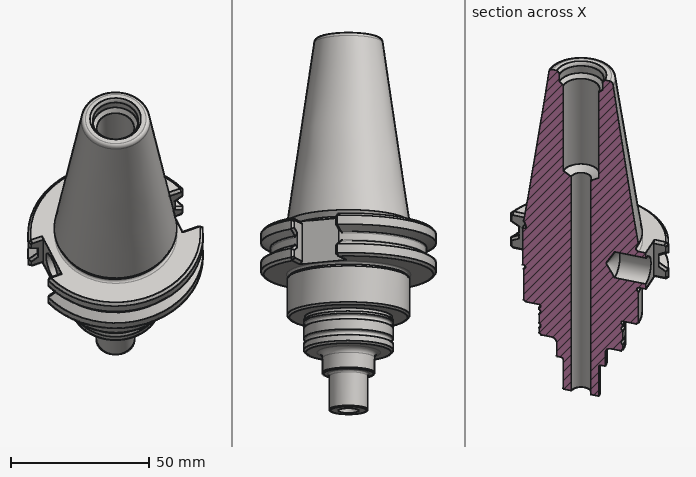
import cadquery as cq
import math


gauge_radius = 44.45 / 2
taper_length = 68.25
taper_slope = 7 / 48
taper_end_radius = gauge_radius - taper_slope * taper_length
taper_end_round = 1.3

relief_fillet = 1.0

flange_radius = 63.5 / 2
flange_top_z = -3.175
flange_bottom_z = -19.05
flange_chamfer = 1.0
groove_z = -11.11
groove_floor_radius = 28.2
groove_floor_half_width = 1.55
groove_corner_fillet = 0.5
groove_flank_angle = 30
groove_mouth_half_width = (
    groove_floor_half_width
    + (flange_radius - groove_floor_radius) * math.tan(math.radians(groove_flank_angle))
)

slot_half_width = 16.38 / 2
slot_chamfer = 1.0
front_slot_floor = 25.0
back_slot_floor = 22.6

dimple_diameter = 11.0
dimple_depth = 12.0
drill_half_angle = 59

body_radius = gauge_radius
body_bottom_z = -35.0
body_chamfer = 0.8
undercut_depth = 0.7
undercut_fillet = 1.0
undercut_length = 1.8
body_top_z = flange_bottom_z - undercut_length

neck_radius = 32.5 / 2
neck_bottom_z = -48.0
neck_chamfer = 0.8
neck_relief_top_radius = neck_radius - 0.35
neck_relief_depth = 0.6
neck_relief_length = 1.25
ring_groove_centers = (-38.1, -44.0)
ring_groove_half_width = 1.05
ring_lip = 0.35
ring_groove_depth = 0.65

step_radius = 19 / 2
step_bottom_z = -56.0
step_chamfer = 0.4
step_fillet = 2.0
nose_radius = 14 / 2
nose_bottom_z = -69.6
nose_chamfer = 0.4
nose_fillet = 0.7

mouth_width = 1.0
mouth_depth = 1.4
mouth_bulge = 0.12
entry_radius = 16.5 / 2
entry_depth = 4.5
thread_radius = 13.53 / 2
thread_depth = 43.0
through_radius = 7.5 / 2

DIAGONAL = math.sqrt(0.5)

cut_clearance = 1.0
tolerance = 1e-3


def ring_groove(profile, center_z):
    """Run the outline down through one round-bottomed groove with chamfered lips."""
    lip_radius = neck_radius - ring_lip
    arc_half_width = ring_groove_half_width - ring_lip
    return (
        profile.lineTo(neck_radius, center_z + ring_groove_half_width)
        .lineTo(lip_radius, center_z + arc_half_width)
        .threePointArc(
            (neck_radius - ring_groove_depth, center_z),
            (lip_radius, center_z - arc_half_width),
        )
        .lineTo(neck_radius, center_z - ring_groove_half_width)
    )


def concave_fillet(profile, wall_radius, face_z, fillet, wall_below):
    """Blend a vertical wall and the face it meets; the wall hangs below the face or stands on it."""
    side = -1 if wall_below else 1
    on_face = (wall_radius + fillet, face_z)
    on_wall = (wall_radius, face_z + side * fillet)
    middle = (
        wall_radius + fillet * (1 - DIAGONAL),
        face_z + side * fillet * (1 - DIAGONAL),
    )
    start, end = (on_face, on_wall) if wall_below else (on_wall, on_face)
    return profile.lineTo(*start).threePointArc(middle, end)


def turned_body():
    """Solid of revolution: taper, flange, body, neck and nose."""
    outline = cq.Workplane("XZ").moveTo(0, nose_bottom_z).lineTo(0, taper_length)

    shoulder_z = taper_length - taper_end_round
    shoulder_radius = taper_end_radius + taper_slope * taper_end_round
    flat_radius = taper_end_radius - taper_end_round
    outline = outline.lineTo(flat_radius, taper_length)
    outline = outline.threePointArc(
        (
            flat_radius + (shoulder_radius - flat_radius) * DIAGONAL,
            shoulder_z + taper_end_round * DIAGONAL,
        ),
        (shoulder_radius, shoulder_z),
    )
    outline = outline.lineTo(gauge_radius, 0)
    relief_radius = gauge_radius - relief_fillet
    outline = concave_fillet(outline, relief_radius, flange_top_z, relief_fillet, False)

    outline = outline.lineTo(flange_radius - flange_chamfer, flange_top_z)
    outline = outline.lineTo(flange_radius, flange_top_z - flange_chamfer)
    outline = outline.lineTo(flange_radius, groove_z + groove_mouth_half_width)
    outline = outline.lineTo(groove_floor_radius, groove_z + groove_floor_half_width)
    outline = outline.lineTo(groove_floor_radius, groove_z - groove_floor_half_width)
    outline = outline.lineTo(flange_radius, groove_z - groove_mouth_half_width)
    outline = outline.lineTo(flange_radius, flange_bottom_z + flange_chamfer)
    outline = outline.lineTo(flange_radius - flange_chamfer, flange_bottom_z)

    undercut_radius = body_radius - undercut_depth
    outline = concave_fillet(outline, undercut_radius, flange_bottom_z, undercut_fillet, True)
    outline = outline.lineTo(body_radius, body_top_z)
    outline = outline.lineTo(body_radius, body_bottom_z + body_chamfer)
    outline = outline.lineTo(body_radius - body_chamfer, body_bottom_z)

    outline = outline.lineTo(neck_relief_top_radius, body_bottom_z)
    outline = outline.threePointArc(
        (neck_radius - neck_relief_depth, body_bottom_z - neck_relief_length / 2),
        (neck_radius, body_bottom_z - neck_relief_length),
    )
    for center_z in ring_groove_centers:
        outline = ring_groove(outline, center_z)
    outline = outline.lineTo(neck_radius, neck_bottom_z + neck_chamfer)
    outline = outline.lineTo(neck_radius - neck_chamfer, neck_bottom_z)

    outline = concave_fillet(outline, step_radius, neck_bottom_z, step_fillet, True)
    outline = outline.lineTo(step_radius, step_bottom_z + step_chamfer)
    outline = outline.lineTo(step_radius - step_chamfer, step_bottom_z)
    outline = concave_fillet(outline, nose_radius, step_bottom_z, nose_fillet, True)
    outline = outline.lineTo(nose_radius, nose_bottom_z + nose_chamfer)
    outline = outline.lineTo(nose_radius - nose_chamfer, nose_bottom_z)
    return outline.close().revolve(360, (0, 0, 0), (0, 1, 0))


def axial_bore():
    """Flared mouth, entry bore, thread core and through hole."""
    thread_top_z = taper_length - entry_depth - (entry_radius - thread_radius)
    thread_end_z = taper_length - thread_depth
    tip_length = (thread_radius - through_radius) / math.tan(math.radians(drill_half_angle))
    return (
        cq.Workplane("XZ")
        .moveTo(0, nose_bottom_z)
        .lineTo(through_radius, nose_bottom_z)
        .lineTo(through_radius, thread_end_z - tip_length)
        .lineTo(thread_radius, thread_end_z)
        .lineTo(thread_radius, thread_top_z)
        .lineTo(entry_radius, taper_length - entry_depth)
        .lineTo(entry_radius, taper_length - mouth_depth)
        .sagittaArc((entry_radius + mouth_width, taper_length), mouth_bulge)
        .lineTo(0, taper_length)
        .close()
        .revolve(360, (0, 0, 0), (0, 1, 0))
    )


def drive_slot(floor_distance, side):
    """Block that opens one slot through the flange; side is -1 for -Y, +1 for +Y."""
    depth = flange_radius - floor_distance + cut_clearance
    height = flange_top_z - flange_bottom_z
    middle_y = side * (floor_distance + depth / 2)
    middle_z = (flange_top_z + flange_bottom_z) / 2
    return (
        cq.Workplane("XY")
        .box(2 * slot_half_width, depth, height)
        .translate((0, middle_y, middle_z))
    )


def chamfer_slot_walls(part):
    """Break the slot wall edges at the rim, faces and groove flanks, not at either floor."""
    def is_broken(edge):
        box = edge.BoundingBox()
        center = edge.Center()
        on_wall = (
            box.xlen < tolerance
            and abs(abs(center.x) - slot_half_width) < tolerance
        )
        on_slot_floor = any(
            abs(center.y - floor_y) < tolerance
            for floor_y in (-front_slot_floor, back_slot_floor)
        )
        on_groove_floor = abs(center.z - groove_z) < tolerance
        return on_wall and not on_slot_floor and not on_groove_floor

    edges = [edge for edge in part.edges().vals() if is_broken(edge)]
    return part.newObject(edges).chamfer(slot_chamfer)


def round_groove_corners(part):
    """Fillet the two corners between the gripper groove's floor and flanks."""
    def on_corner(edge):
        return (
            edge.geomType() == "CIRCLE"
            and abs(edge.radius() - groove_floor_radius) < tolerance
        )

    edges = [edge for edge in part.edges().vals() if on_corner(edge)]
    return part.newObject(edges).fillet(groove_corner_fillet)


def dimple():
    """Drilled blind hole with a conical tip, entering the front slot floor."""
    radius = dimple_diameter / 2
    tip_length = radius / math.tan(math.radians(drill_half_angle))
    return (
        cq.Workplane("XY")
        .moveTo(0, -front_slot_floor)
        .lineTo(radius, -front_slot_floor)
        .lineTo(radius, -front_slot_floor + dimple_depth)
        .lineTo(0, -front_slot_floor + dimple_depth + tip_length)
        .close()
        .revolve(360, (0, 0, 0), (0, 1, 0))
        .translate((0, 0, groove_z))
    )


result = turned_body()
result = result.cut(drive_slot(front_slot_floor, -1))
result = result.cut(drive_slot(back_slot_floor, 1))
result = chamfer_slot_walls(result)
result = round_groove_corners(result)
result = result.cut(dimple())
result = result.cut(axial_bore())